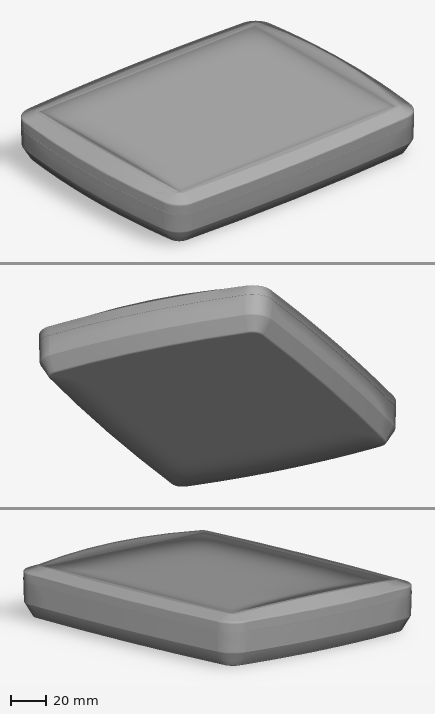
import cadquery as cq
import math

half_width = 150.0 / 2
half_length = 190 / 2
corner_radius = 12.5
corner_x = 60.2
corner_y = 78.5

base_bevel_height = 8.7
parting_height = 21.0
shoulder_height = 26.8
rim_height = 29.8
crown_height = 32.1

bottom_inset = 5.7
base_wall_draft = 2
lid_wall_draft = 0.5
rim_inset = 8.2

shoulder_fillet = 1.3
base_fillet = 1.3

groove_height = 0.5
groove_depth = 0.2

recess_half_width = 62.1
recess_half_length = 78.8
recess_depth = 0.5
recess_end_slope = 27
recess_side_slope = 40

cutter_clearance = 1.9
selection_margin = 0.02


def bow_radius(half_span, corner_across, corner_along):
    """Radius of an arc that peaks at half_span and is tangent to the corner arcs."""
    reach = half_span - corner_across
    return (corner_along**2 + reach**2 - corner_radius**2) / (2 * (reach - corner_radius))


end_bow_radius = bow_radius(half_length, corner_y, corner_x)
side_bow_radius = bow_radius(half_width, corner_x, corner_y)
end_angle = math.asin(corner_x / (end_bow_radius - corner_radius))
side_angle = math.asin(corner_y / (side_bow_radius - corner_radius))


def outline_edges(inset, height, end_peak_height=None):
    """The eight outline arcs, offset inward; the end arcs may rise to a higher peak."""
    if end_peak_height is None:
        end_peak_height = height
    radius = corner_radius - inset
    middle_angle = (side_angle + math.pi / 2 - end_angle) / 2

    def corner_point(angle, sign_x, sign_y):
        x = corner_x + radius * math.cos(angle)
        y = corner_y + radius * math.sin(angle)
        return cq.Vector(sign_x * x, sign_y * y, height)

    def side_tangent(sign_x, sign_y):
        return corner_point(side_angle, sign_x, sign_y)

    def end_tangent(sign_x, sign_y):
        return corner_point(math.pi / 2 - end_angle, sign_x, sign_y)

    edges = []
    for sign in (1, -1):
        side_peak = cq.Vector(sign * (half_width - inset), 0, height)
        end_peak = cq.Vector(0, sign * (half_length - inset), end_peak_height)
        points = [
            (side_tangent(sign, -sign), side_peak, side_tangent(sign, sign)),
            (side_tangent(sign, sign), corner_point(middle_angle, sign, sign), end_tangent(sign, sign)),
            (end_tangent(sign, sign), end_peak, end_tangent(-sign, sign)),
            (end_tangent(-sign, sign), corner_point(middle_angle, -sign, sign), side_tangent(-sign, sign)),
        ]
        edges += [cq.Edge.makeThreePointArc(*arc_points) for arc_points in points]
    return edges


def ruled_band(lower_edges, upper_edges):
    return [cq.Face.makeRuledSurface(lower, upper) for lower, upper in zip(lower_edges, upper_edges)]


def outline_face(inset, height):
    return cq.Face.makeFromWires(cq.Wire.assembleEdges(outline_edges(inset, height)))


def drafted_inset(height, draft):
    """Inset of the drafted wall at a height above or below the parting."""
    return abs(height - parting_height) * math.tan(math.radians(draft))


def edges_at(height):
    """Selector for the edges that lie level at one height."""
    margin = selection_margin
    return cq.selectors.BoxSelector(
        (-half_width - margin, -half_length - margin, height - margin),
        (half_width + margin, half_length + margin, height + margin),
        boundingbox=True,
    )


def parting_groove():
    """Ring that runs round the top edge of the base."""
    up = cq.Vector(0, 0, groove_height)
    floor = parting_height - groove_height
    outer = cq.Solid.extrudeLinear(outline_face(-cutter_clearance, floor), up)
    inner = cq.Solid.extrudeLinear(outline_face(groove_depth, floor), up)
    return cq.Workplane(obj=outer.cut(inner))


def make_base():
    """Lower half: a bevelled foot below a slightly drafted wall."""
    sections = [
        outline_edges(bottom_inset, 0),
        outline_edges(drafted_inset(base_bevel_height, base_wall_draft), base_bevel_height),
        outline_edges(0, parting_height),
    ]
    wires = [cq.Wire.assembleEdges(edges) for edges in sections]
    blank = cq.Workplane(obj=cq.Solid.makeLoft(wires, True))
    rounded = blank.edges(edges_at(base_bevel_height)).fillet(base_fillet)
    rounded = rounded.edges(edges_at(0)).fillet(base_fillet)
    return rounded.cut(parting_groove()).val()


def rim_faces(rim):
    """Cover the rim outline: an arched face between the ends and a flat face along each side."""
    right_side, corner_a, back_end, corner_b, left_side, corner_c, front_end, corner_d = rim

    def chord(first, last):
        return cq.Edge.makeLine(first.endPoint(), last.startPoint())

    right_edges = [corner_d, right_side, corner_a, chord(corner_a, corner_d)]
    left_edges = [corner_b, left_side, corner_c, chord(corner_c, corner_b)]
    front_reversed = cq.Edge.makeThreePointArc(
        front_end.endPoint(), front_end.positionAt(0.5), front_end.startPoint()
    )
    return [
        cq.Face.makeRuledSurface(front_reversed, back_end),
        cq.Face.makeFromWires(cq.Wire.assembleEdges(right_edges)),
        cq.Face.makeFromWires(cq.Wire.assembleEdges(left_edges)),
    ]


def lid_blank():
    """Drafted wall with a sloping top that climbs to the arched rim."""
    bottom = outline_edges(0, parting_height)
    shoulder_inset = drafted_inset(shoulder_height, lid_wall_draft)
    shoulder = outline_edges(shoulder_inset, shoulder_height)
    rim = outline_edges(rim_inset, rim_height, crown_height)
    faces = [outline_face(0, parting_height)]
    faces += ruled_band(bottom, shoulder)
    faces += ruled_band(shoulder, rim)
    faces += rim_faces(rim)
    solid = cq.Solid.makeSolid(cq.Shell.makeShell(faces))
    return cq.Workplane(obj=solid.fix())


def recess_cutter():
    """Shallow tray whose four walls slope outward from its floor."""
    floor = rim_height - recess_depth
    rise = crown_height - floor + cutter_clearance
    end_flare = rise / math.tan(math.radians(recess_end_slope))
    side_flare = rise / math.tan(math.radians(recess_side_slope))
    return (
        cq.Workplane("XY", origin=(0, 0, floor))
        .rect(2 * recess_half_width, 2 * recess_half_length)
        .workplane(offset=rise)
        .rect(2 * (recess_half_width + side_flare), 2 * (recess_half_length + end_flare))
        .loft(ruled=True)
    )


def make_lid():
    """Upper half, with its shoulder rounded and the top recessed."""
    rounded = lid_blank().edges(edges_at(shoulder_height)).fillet(shoulder_fillet)
    return rounded.cut(recess_cutter()).val()


base = make_base()
lid = make_lid()
result = cq.Compound.makeCompound([*base.Solids(), *lid.Solids()])